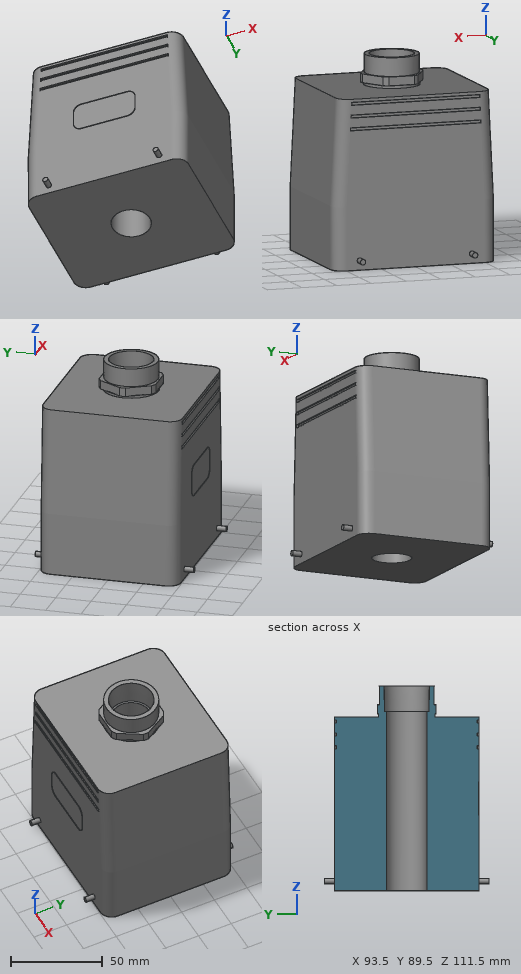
import cadquery as cq

body_length = 93.5
body_top_length = 87.6
body_depth = 78.8
body_height = 94.7
taper_start = 35.0
corner_radius = 7.0

groove_height = 1.6
groove_depth = 1.0
groove_count = 3
groove_pitch = 7.0
top_groove_center = 92.1

plate_length = 36.0
plate_height = 17.8
plate_radius = 4.6
plate_depth = 0.3
plate_center = 50.2

pin_diameter = 3.0
pin_spacing = 64.7
pin_center = 5.4
pin_span = 89.5

neck_top = 111.5
neck_diameter = 30.0
collar_diameter = 31.0
nut_bottom = 96.3
nut_top = 101.2
nut_across_flats = 32.0
nut_corner_diameter = 35.2
flat_to_corner_angle = 30

mouth_diameter = 24.6
mouth_bottom = 98.7
seat_diameter = 24.2
seat_bottom = 97.7
through_diameter = 21.9


def cylinder(diameter, bottom, top):
    return cq.Workplane("XY").workplane(offset=bottom).circle(diameter / 2).extrude(top - bottom)


def half_length_at(height):
    """Half length of the body at a height above the taper line."""
    rise = (height - taper_start) / (body_height - taper_start)
    return (body_length + (body_top_length - body_length) * rise) / 2


def make_body():
    half_base = body_length / 2
    half_top = body_top_length / 2
    profile = [
        (-half_base, 0),
        (half_base, 0),
        (half_base, taper_start),
        (half_top, body_height),
        (-half_top, body_height),
        (-half_base, taper_start),
    ]
    block = cq.Workplane("XZ").polyline(profile).close().extrude(body_depth / 2, both=True)
    return block.edges("not(|X or |Y)").fillet(corner_radius)


def make_groove(center, side):
    """Groove spanning the flat between the rounded corners; side is -1 for front, 1 for back."""
    bottom = center - groove_height / 2
    top = center + groove_height / 2
    half_bottom = half_length_at(bottom) - corner_radius
    half_top = half_length_at(top) - corner_radius
    outline = [(-half_bottom, bottom), (half_bottom, bottom), (half_top, top), (-half_top, top)]
    groove = cq.Workplane("XZ").polyline(outline).close().extrude(groove_depth, both=True)
    return groove.translate((0, side * body_depth / 2, 0))


def make_plate_recess():
    return (
        cq.Workplane("XY")
        .box(plate_length, 2 * plate_depth, plate_height)
        .edges("|Y")
        .fillet(plate_radius)
        .translate((0, -body_depth / 2, plate_center))
    )


def make_pins():
    return (
        cq.Workplane("XZ")
        .pushPoints([(-pin_spacing / 2, pin_center), (pin_spacing / 2, pin_center)])
        .circle(pin_diameter / 2)
        .extrude(pin_span / 2, both=True)
    )


def make_nut():
    """Hexagon with flats facing front and back, its corners rounded by a cylinder."""
    hexagon = (
        cq.Workplane("XY")
        .workplane(offset=nut_bottom)
        .polygon(6, nut_across_flats, circumscribed=True)
        .extrude(nut_top - nut_bottom)
        .rotate((0, 0, 0), (0, 0, 1), flat_to_corner_angle)
    )
    return hexagon.intersect(cylinder(nut_corner_diameter, nut_bottom, nut_top))


def make_bore():
    mouth = (
        cq.Workplane("XY")
        .workplane(offset=mouth_bottom)
        .circle(seat_diameter / 2)
        .workplane(offset=neck_top - mouth_bottom)
        .circle(mouth_diameter / 2)
        .loft()
    )
    seat = cylinder(seat_diameter, seat_bottom, mouth_bottom)
    through = cylinder(through_diameter, 0, seat_bottom)
    return mouth.union(seat).union(through)


result = make_body()
for index in range(groove_count):
    groove_center = top_groove_center - index * groove_pitch
    for face_side in (-1, 1):
        result = result.cut(make_groove(groove_center, face_side))
result = result.cut(make_plate_recess())
result = result.union(make_pins())
result = result.union(cylinder(collar_diameter, body_height, nut_bottom))
result = result.union(make_nut())
result = result.union(cylinder(neck_diameter, nut_top, neck_top))
result = result.cut(make_bore())